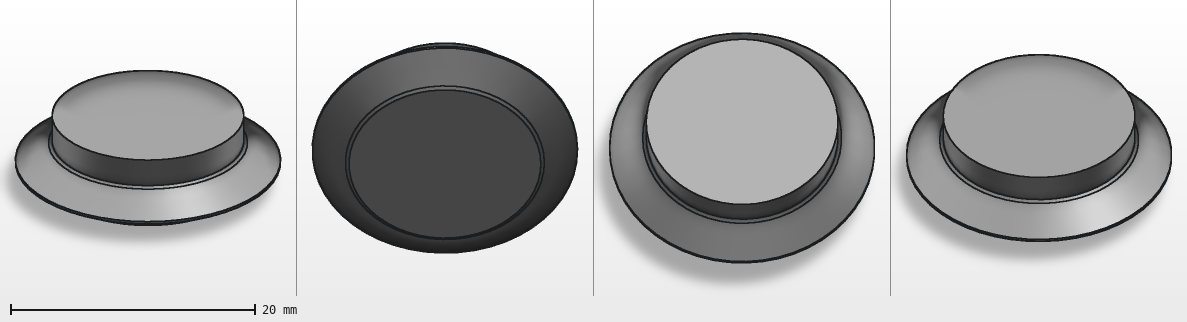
import cadquery as cq
import math

total_height = 6.05
outer_diameter = 21.7
core_diameter = 16.28
boss_diameter = 15.69
rim_width = 0.22
cone_angle = 30.0

outer_radius = outer_diameter / 2
core_radius = core_diameter / 2
boss_radius = boss_diameter / 2
slope = math.tan(math.radians(cone_angle))
cone_rise = (outer_radius - boss_radius) * slope
core_edge_rise = (core_radius - boss_radius) * slope
flange_height = 2 * cone_rise + rim_width


def revolve_profile(points):
    """Revolve a closed (radius, height) outline about the Z axis."""
    return cq.Workplane("XZ").polyline(points).close().revolve(360, (0, 0, 0), (0, 1, 0))


def make_core():
    """Solid disc with sloped edges and a straight boss on top."""
    return revolve_profile([
        (0, 0),
        (boss_radius, 0),
        (core_radius, core_edge_rise),
        (core_radius, flange_height - core_edge_rise),
        (boss_radius, flange_height),
        (boss_radius, total_height),
        (0, total_height),
    ])


def make_ring():
    """Tapered ring around the core, continuing the slope of the core's edges."""
    return revolve_profile([
        (core_radius, core_edge_rise),
        (outer_radius, cone_rise),
        (outer_radius, cone_rise + rim_width),
        (core_radius, flange_height - core_edge_rise),
    ])


core = make_core()
ring = make_ring()

result = cq.Compound.makeCompound([core.val(), ring.val()])